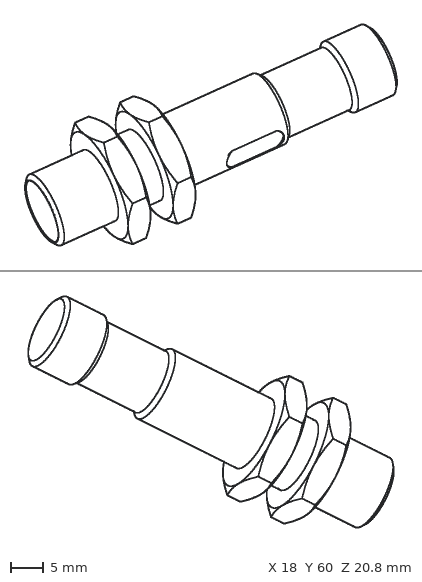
import cadquery as cq
import math

length = 60.0
barrel_radius = 6.0
neck_radius = 5.3
end_face_radius = neck_radius
end_chamfer_length = 0.6
collar_length = 8.0
neck_front = 41.0
neck_bevel = barrel_radius - neck_radius

cap_radius = 5.15
cap_recess = 0.2
cap_thickness = 2.0

pocket_depth = 0.35
pocket_length = 10.2
pocket_width = 4.8
pocket_center = 34.5

nut_sides = 6
nut_across_flats = 18.0
nut_thickness = 4.0
nut_face_radius = 9.0
nut_bevel_angle = 30.0
nut_fronts = [10.2, 18.2]


def cylinder_along_y(radius, start, depth):
    """Cylinder on the Y axis from Y = start toward +Y."""
    return cq.Workplane("XZ", origin=(0, start, 0)).circle(radius).extrude(-depth)


def revolve_about_y(outline):
    """Solid of revolution from (radius, y) points."""
    return cq.Workplane("XY").polyline(outline).close().revolve(360, (0, 0, 0), (0, 1, 0))


def make_pocket_cutter():
    floor = barrel_radius - pocket_depth
    return (
        cq.Workplane("YZ", origin=(floor, pocket_center, 0))
        .slot2D(pocket_length, pocket_width)
        .extrude(2 * pocket_depth)
    )


def make_housing():
    collar_front = length - collar_length
    body = revolve_about_y([
        (0, 0),
        (end_face_radius, 0),
        (barrel_radius, end_chamfer_length),
        (barrel_radius, neck_front - neck_bevel),
        (neck_radius, neck_front),
        (neck_radius, collar_front),
        (barrel_radius, collar_front + neck_bevel),
        (barrel_radius, length - end_chamfer_length),
        (end_face_radius, length),
        (0, length),
    ])
    cap_seat = cylinder_along_y(cap_radius, 0, cap_recess + cap_thickness)
    return body.cut(cap_seat).cut(make_pocket_cutter())


def make_sensing_cap():
    return cylinder_along_y(cap_radius, cap_recess, cap_thickness)


def make_nut(front):
    """Hexagonal nut, corners up and down, with both faces beveled at the corners."""
    corner_radius = nut_across_flats / 2 / math.cos(math.pi / nut_sides)
    bevel_depth = (corner_radius - nut_face_radius) * math.tan(math.radians(nut_bevel_angle))
    back = front + nut_thickness
    hexagon = (
        cq.Workplane("XZ", origin=(0, front, 0))
        .transformed(rotate=(0, 0, 90))
        .polygon(nut_sides, 2 * corner_radius)
        .extrude(-nut_thickness)
    )
    bevel_envelope = revolve_about_y([
        (0, front),
        (nut_face_radius, front),
        (corner_radius, front + bevel_depth),
        (corner_radius, back - bevel_depth),
        (nut_face_radius, back),
        (0, back),
    ])
    bore = cylinder_along_y(barrel_radius, front, nut_thickness)
    return hexagon.intersect(bevel_envelope).cut(bore)


housing = make_housing()
sensing_cap = make_sensing_cap()
nuts = [make_nut(front) for front in nut_fronts]

result = cq.Compound.makeCompound([
    housing.val(),
    sensing_cap.val(),
    *[nut.val() for nut in nuts],
])